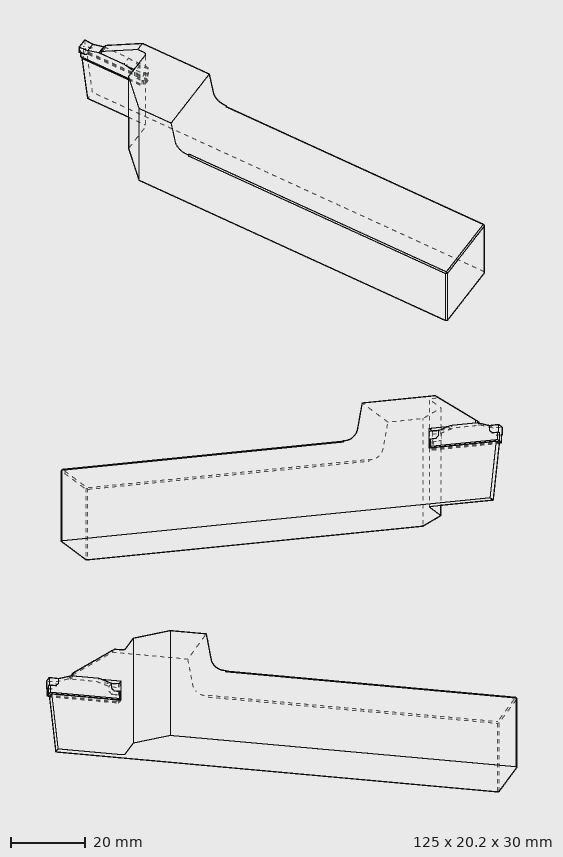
import cadquery as cq

LENGTH = 125.0
WIDTH = 20.0
SHANK_HEIGHT = 20.0
HEAD_HEIGHT = 30.0
SHANK_CHAMFER = 0.4
HEAD_FRONT_X = 20.9
HEAD_BEVEL = 8.1
HEAD_TOP_BACK_X = 39.0
HEAD_FOOT_X = 40.9
HEAD_FOOT_RADIUS = 3.5

BLADE_THICKNESS = 2.5
BLADE_TOP_X = 0.8
BLADE_BOTTOM_X = 2.5
BLADE_ROOT_RADIUS = 0.8
BLADE_INNER_Y = WIDTH - BLADE_THICKNESS
BLADE_CENTER_Y = WIDTH - BLADE_THICKNESS / 2

FINGER_TIP_X = 6.6
FINGER_TIP_HEIGHT = 0.9
FINGER_TOP_X = 18.1

INSERT_LENGTH = 19.9
INSERT_CENTER_X = INSERT_LENGTH / 2
SEAT_Z = 15.6
CUTTING_Z = 20.1
CROWN_Z = 21.2
CROWN_HALF_LENGTH = 3.9
TIP_LENGTH = 2.6
TIP_BOTTOM_Z = 18.0
TIP_CORNER = 0.8
BODY_CHAMFER = 0.4
BODY_THICKNESS = BLADE_THICKNESS
TIP_EDGE_THICKNESS = 3.0
TIP_BACK_THICKNESS = 2.6

SLOT_END_X = INSERT_LENGTH
SLOT_ROOF_DROP = 0.2


def plate(outline, back_y, thickness):
    """Extrude an XZ outline from back_y toward -Y."""
    sketch = cq.Workplane("XZ", origin=(0, back_y, 0)).polyline(outline).close()
    return sketch.extrude(thickness)


def make_shank():
    """Square shank with its long upper edges and its end edges chamfered."""
    shank = cq.Workplane("XY").box(
        LENGTH - HEAD_FOOT_X, WIDTH, SHANK_HEIGHT, centered=False
    )
    shank = shank.translate((HEAD_FOOT_X, 0, 0))
    return shank.edges("(|X and >Z) or (>X and (|Z or >Z))").chamfer(SHANK_CHAMFER)


def make_head():
    """Raised head with a bevelled front corner and a sloping, filleted back."""
    head_end_x = HEAD_FOOT_X + HEAD_FOOT_RADIUS
    outline = [
        (HEAD_FRONT_X, 0),
        (head_end_x, 0),
        (head_end_x, SHANK_HEIGHT),
        (HEAD_FOOT_X, SHANK_HEIGHT),
        (HEAD_TOP_BACK_X, HEAD_HEIGHT),
        (HEAD_FRONT_X, HEAD_HEIGHT),
    ]
    head = plate(outline, WIDTH, WIDTH)
    foot = cq.selectors.NearestToPointSelector((HEAD_FOOT_X, WIDTH / 2, SHANK_HEIGHT))
    head = head.edges(foot).fillet(HEAD_FOOT_RADIUS)
    front_corner = head.edges("|Z").edges("<X").edges("<Y")
    return front_corner.chamfer(HEAD_BEVEL)


def make_blade():
    """Blade with the open insert slot and the clamping finger above it."""
    crown_end_x = INSERT_CENTER_X + CROWN_HALF_LENGTH
    slope_run = INSERT_LENGTH - TIP_LENGTH - crown_end_x
    roof_step_x = crown_end_x + slope_run * SLOT_ROOF_DROP / (CROWN_Z - CUTTING_Z)
    outline = [
        (BLADE_BOTTOM_X, 0),
        (HEAD_FRONT_X, 0),
        (HEAD_FRONT_X, HEAD_HEIGHT),
        (FINGER_TOP_X, HEAD_HEIGHT),
        (FINGER_TIP_X, CROWN_Z + FINGER_TIP_HEIGHT),
        (FINGER_TIP_X, CROWN_Z),
        (crown_end_x, CROWN_Z),
        (roof_step_x, CROWN_Z - SLOT_ROOF_DROP),
        (SLOT_END_X, CROWN_Z - SLOT_ROOF_DROP),
        (SLOT_END_X, SEAT_Z),
        (BLADE_TOP_X, SEAT_Z),
    ]
    return plate(outline, WIDTH, BLADE_THICKNESS)


def make_holder():
    holder = make_shank().union(make_head()).union(make_blade())
    root = (
        cq.Workplane("XY")
        .moveTo(HEAD_FRONT_X, BLADE_INNER_Y)
        .lineTo(HEAD_FRONT_X - BLADE_ROOT_RADIUS, BLADE_INNER_Y)
        .radiusArc((HEAD_FRONT_X, BLADE_INNER_Y - BLADE_ROOT_RADIUS), BLADE_ROOT_RADIUS)
        .close()
        .extrude(HEAD_HEIGHT)
    )
    return holder.union(root)


def make_tip():
    """Cutting tip at the -X end of the insert, narrowing behind its cutting edge."""
    outline = [
        (0, CUTTING_Z),
        (TIP_LENGTH, CUTTING_Z),
        (TIP_LENGTH, TIP_BOTTOM_Z + TIP_CORNER),
        (TIP_LENGTH - TIP_CORNER, TIP_BOTTOM_Z),
        (0, TIP_BOTTOM_Z),
    ]
    block = plate(outline, BLADE_CENTER_Y + TIP_EDGE_THICKNESS / 2, TIP_EDGE_THICKNESS)
    plan = [
        (0, -TIP_EDGE_THICKNESS / 2),
        (TIP_LENGTH, -TIP_BACK_THICKNESS / 2),
        (TIP_LENGTH, TIP_BACK_THICKNESS / 2),
        (0, TIP_EDGE_THICKNESS / 2),
    ]
    wedge = cq.Workplane("XY", origin=(0, BLADE_CENTER_Y, 0)).polyline(plan).close()
    return block.intersect(wedge.extrude(HEAD_HEIGHT))


def make_insert():
    """Double-ended cutting insert, symmetric about its middle."""
    outline = [
        (0, SEAT_Z),
        (INSERT_LENGTH, SEAT_Z),
        (INSERT_LENGTH, CUTTING_Z),
        (INSERT_LENGTH - TIP_LENGTH, CUTTING_Z),
        (INSERT_CENTER_X + CROWN_HALF_LENGTH, CROWN_Z),
        (INSERT_CENTER_X - CROWN_HALF_LENGTH, CROWN_Z),
        (TIP_LENGTH, CUTTING_Z),
        (0, CUTTING_Z),
    ]
    body = plate(outline, BLADE_CENTER_Y + BODY_THICKNESS / 2, BODY_THICKNESS)
    body = body.edges("(|X and <Z) or |Z").chamfer(BODY_CHAMFER)
    tip = make_tip()
    far_tip = tip.mirror("YZ", (INSERT_CENTER_X, 0, 0))
    return body.union(tip).union(far_tip)


holder = make_holder()
insert = make_insert()
result = cq.Compound.makeCompound([holder.val(), insert.val()])